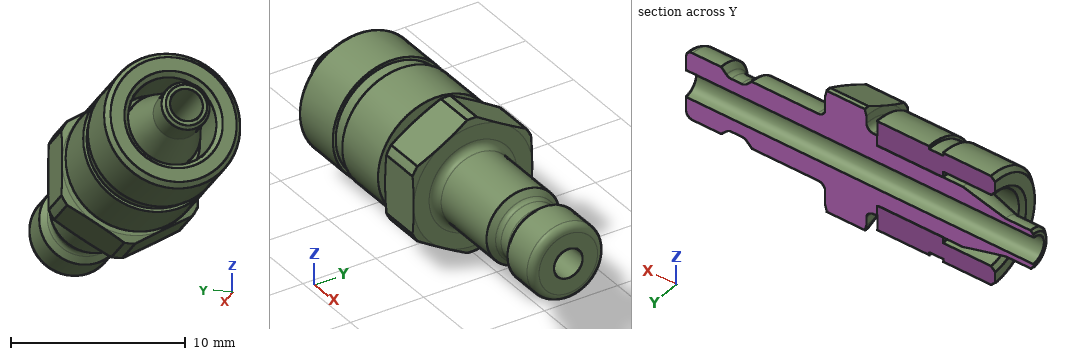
import cadquery as cq
import math

total_length = 25.0
sleeve_start = 2.75
sleeve_end = 11.25
hex_start = 12.0
hex_end = 15.0

bore_radius = 0.98
nozzle_radius = 1.42
nozzle_tip_chamfer = 0.2
cone_start = 2.0
cone_angle = math.radians(15.0)
shank_radius = 2.25
collar_radius = 3.0
plug_radius = 2.5
corner_fillet = 0.5

lock_groove_start = 20.25
lock_groove_end = 22.45
lock_groove_radius = 1.98
lock_groove_fillet = 0.5

hex_across_flats = 8.1
hex_turned_radius = 4.5
hex_bevel_angle = math.radians(15.0)

sleeve_radius = hex_across_flats / 2
sleeve_chamfer = 0.3
sleeve_bore_radius = 2.62
sleeve_mouth_chamfer = 0.3
sleeve_floor = 6.5
sleeve_groove_start = 6.5
sleeve_groove_end = 7.5
sleeve_groove_radius = 3.85

cone_end = cone_start + (shank_radius - nozzle_radius) / math.tan(cone_angle)


def revolve_about_x(profile):
    """Turn a closed (X, radius) profile once around the X axis."""
    return profile.close().revolve(360, (0, 0, 0), (1, 0, 0))


def make_hexagon():
    """Hexagon with corners up and down, turned and bevelled at both ends."""
    length = hex_end - hex_start
    sharp_diameter = hex_across_flats / math.cos(math.pi / 6)
    prism = (
        cq.Workplane("YZ", origin=(hex_start, 0, 0))
        .transformed(rotate=(0, 0, 90))
        .polygon(6, sharp_diameter)
        .extrude(length)
    )
    face_radius = hex_across_flats / 2
    bevel_length = (hex_turned_radius - face_radius) * math.tan(hex_bevel_angle)
    envelope = revolve_about_x(
        cq.Workplane("XY")
        .moveTo(hex_start, 0)
        .lineTo(hex_start, face_radius)
        .lineTo(hex_start + bevel_length, hex_turned_radius)
        .lineTo(hex_end - bevel_length, hex_turned_radius)
        .lineTo(hex_end, face_radius)
        .lineTo(hex_end, 0)
    )
    return prism.intersect(envelope)


def make_turned_stem():
    """Nozzle, collar and plug as one turned shape, without the hexagon and the bore."""
    slope_angle = math.pi / 4
    fillet_length = lock_groove_fillet * math.sin(slope_angle)
    fillet_drop = lock_groove_fillet * (1 - math.cos(slope_angle))
    slope_end_radius = lock_groove_radius + fillet_drop
    slope_length = plug_radius - slope_end_radius
    mid_length = lock_groove_fillet * math.sin(slope_angle / 2)
    mid_radius = lock_groove_radius + lock_groove_fillet * (1 - math.cos(slope_angle / 2))
    floor_start = lock_groove_start + slope_length + fillet_length
    floor_end = lock_groove_end - slope_length - fillet_length
    return revolve_about_x(
        cq.Workplane("XY")
        .moveTo(0, 0)
        .lineTo(0, nozzle_radius - nozzle_tip_chamfer)
        .lineTo(nozzle_tip_chamfer, nozzle_radius)
        .lineTo(cone_start, nozzle_radius)
        .lineTo(cone_end, shank_radius)
        .lineTo(sleeve_end, shank_radius)
        .lineTo(sleeve_end, collar_radius)
        .lineTo(hex_start - corner_fillet, collar_radius)
        .radiusArc((hex_start, collar_radius + corner_fillet), -corner_fillet)
        .lineTo(hex_end, plug_radius + corner_fillet)
        .radiusArc((hex_end + corner_fillet, plug_radius), -corner_fillet)
        .lineTo(lock_groove_start, plug_radius)
        .lineTo(lock_groove_start + slope_length, slope_end_radius)
        .threePointArc((floor_start - mid_length, mid_radius), (floor_start, lock_groove_radius))
        .lineTo(floor_end, lock_groove_radius)
        .threePointArc((floor_end + mid_length, mid_radius), (floor_end + fillet_length, slope_end_radius))
        .lineTo(lock_groove_end, plug_radius)
        .lineTo(total_length - corner_fillet, plug_radius)
        .radiusArc((total_length, plug_radius - corner_fillet), corner_fillet)
        .lineTo(total_length, 0)
    )


def make_stem():
    """Hose nozzle, hexagon and plug in one piece, bored through."""
    bore = cq.Workplane("YZ").circle(bore_radius).extrude(total_length)
    return make_turned_stem().union(make_hexagon()).cut(bore)


def make_sleeve():
    """Sleeve on the stem shank, open around the nozzle, with a shallow groove around its outside."""
    return revolve_about_x(
        cq.Workplane("XY")
        .moveTo(sleeve_start, sleeve_bore_radius + sleeve_mouth_chamfer)
        .lineTo(sleeve_start, sleeve_radius - sleeve_chamfer)
        .lineTo(sleeve_start + sleeve_chamfer, sleeve_radius)
        .lineTo(sleeve_groove_start, sleeve_radius)
        .lineTo(sleeve_groove_start, sleeve_groove_radius)
        .lineTo(sleeve_groove_end, sleeve_groove_radius)
        .lineTo(sleeve_groove_end, sleeve_radius)
        .lineTo(sleeve_end, sleeve_radius)
        .lineTo(sleeve_end, shank_radius)
        .lineTo(sleeve_floor, shank_radius)
        .lineTo(sleeve_floor, sleeve_bore_radius)
        .lineTo(sleeve_start + sleeve_mouth_chamfer, sleeve_bore_radius)
    )


stem = make_stem()
sleeve = make_sleeve()

result = cq.Compound.makeCompound([stem.val(), sleeve.val()])